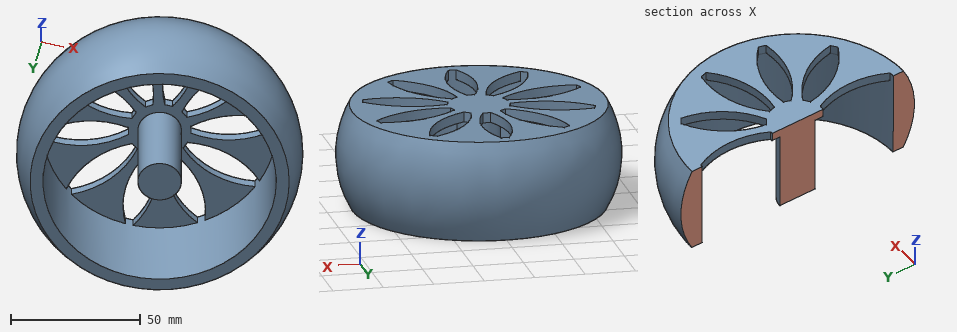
import cadquery as cq

height = 40.0
middle_radius = 55.4
rim_radius = 50.0

wall_at_rim = 5.0
cavity_radius = rim_radius - wall_at_rim
plate_thickness = 4.0
cavity_depth = height - plate_thickness
post_radius = 8.4

petal_count = 10
hub_radius = 12.1
petal_length = cavity_radius - hub_radius
petal_width = 11.2
petal_end_width = 3.1
petal_sideways_offset = 0.5


def barrel():
    """Solid of revolution with a bulging side and flat ends."""
    profile = (
        cq.Workplane("XZ")
        .lineTo(rim_radius, 0)
        .threePointArc((middle_radius, height / 2), (rim_radius, height))
        .lineTo(0, height)
        .close()
    )
    return profile.revolve(360, (0, 0, 0), (0, 1, 0))


def cavity():
    """Ring-shaped space between the outer wall and the post."""
    return cq.Workplane("XY").circle(cavity_radius).circle(post_radius).extrude(cavity_depth)


def petal():
    """Blunt-ended lens along +Y, set slightly to one side of the axis."""
    centre = -petal_sideways_offset
    middle = hub_radius + petal_length / 2
    half_width = petal_width / 2
    half_end = petal_end_width / 2
    return (
        cq.Workplane("XY")
        .workplane(offset=cavity_depth)
        .moveTo(centre - half_end, hub_radius)
        .lineTo(centre + half_end, hub_radius)
        .threePointArc((centre + half_width, middle), (centre + half_end, cavity_radius))
        .lineTo(centre - half_end, cavity_radius)
        .threePointArc((centre - half_width, middle), (centre - half_end, hub_radius))
        .close()
        .extrude(plate_thickness)
    )


petal_limit = cq.Workplane("XY").circle(cavity_radius).extrude(height)
petal_cutter = petal().intersect(petal_limit)

result = barrel().cut(cavity())
for index in range(petal_count):
    angle = index * 360 / petal_count
    result = result.cut(petal_cutter.rotate((0, 0, 0), (0, 0, 1), angle))